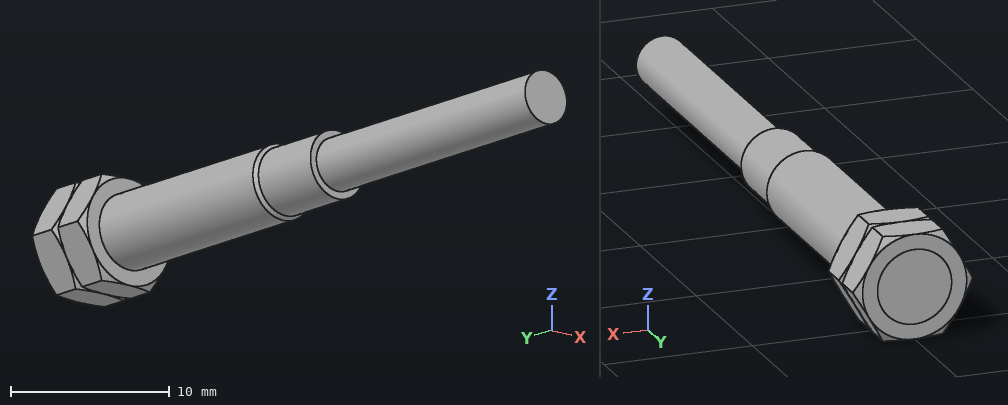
import cadquery as cq
import math

total_length = 45.0

barrel_diameter = 5.0
barrel_length = 20.0
collar_diameter = 4.5
collar_length = 5.0
cable_diameter = 3.5

nut_count = 2
nut_stack_length = 5.0
nut_thickness = nut_stack_length / nut_count
nut_across_flats = 7.0
nut_across_corners = nut_across_flats / math.cos(math.radians(30))
nut_chamfer_angle = 30.0

back_y = total_length / 2


def rod(diameter, start_y, length):
    """Cylinder on the Y axis, running from start_y towards -Y."""
    return (
        cq.Workplane("XZ", origin=(0, start_y, 0))
        .circle(diameter / 2)
        .extrude(length)
    )


def make_stem():
    """Barrel with a chamfered shoulder, stepping down to the collar and the cable."""
    shoulder_chamfer = (barrel_diameter - collar_diameter) / 2
    collar_start_y = back_y - barrel_length
    cable_start_y = collar_start_y - collar_length
    cable_length = total_length - barrel_length - collar_length
    barrel = rod(barrel_diameter, back_y, barrel_length).faces("<Y").chamfer(shoulder_chamfer)
    collar = rod(collar_diameter, collar_start_y, collar_length)
    cable = rod(cable_diameter, cable_start_y, cable_length)
    return barrel.union(collar).union(cable)


def make_nut(start_y):
    """Hexagonal nut with corners on X, corners chamfered at both ends, bored for the barrel."""
    chamfer_width = (nut_across_corners - nut_across_flats) / 2
    chamfer_height = chamfer_width * math.tan(math.radians(nut_chamfer_angle))
    hexagon = (
        cq.Workplane("XZ", origin=(0, start_y, 0))
        .polygon(6, nut_across_corners)
        .extrude(nut_thickness)
    )
    corner_envelope = rod(nut_across_corners, start_y, nut_thickness)
    corner_envelope = corner_envelope.faces("<Y or >Y").chamfer(chamfer_height, chamfer_width)
    bore = rod(barrel_diameter, start_y, nut_thickness)
    return hexagon.intersect(corner_envelope).cut(bore)


stem = make_stem()
nuts = [make_nut(back_y - index * nut_thickness) for index in range(nut_count)]

result = cq.Compound.makeCompound([stem.val(), *[nut.val() for nut in nuts]])